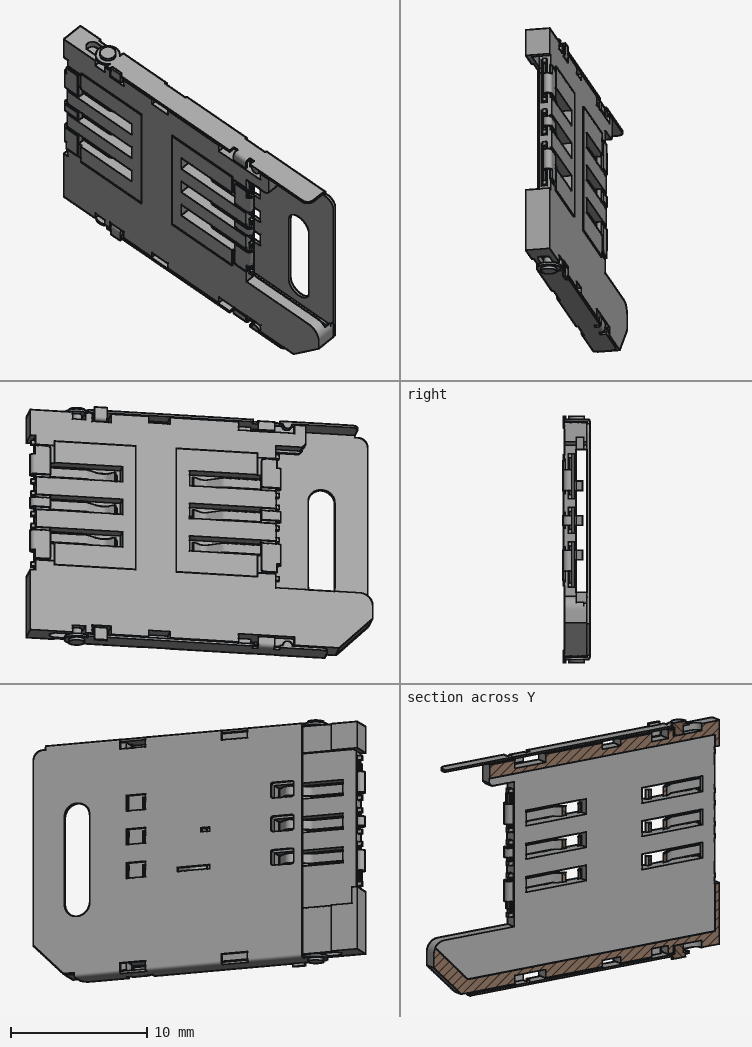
import cadquery as cq
import math


LENGTH = 25.52
HALF_WIDTH = 8.57
FLOOR_THICKNESS = 0.87
HOUSING_BACK = 1.65
STOP_BACK = 1.8
STOP_LENGTH = 2.05
MOUTH_TOP = 6.58
MOUTH_BOTTOM = -3.88
FLOOR_START = 0.4
MIRROR_SUM = 18.7
FLOOR_END = MIRROR_SUM - FLOOR_START
SHORT_ARM_END = 20.52
SHORT_ARM_INNER = 6.9
SHORT_ARM_CHAMFER = 0.25
LONG_ARM_INNER = -4.19
LONG_ARM_RADIUS = 0.97
CORNER_X = 23.02
CORNER_Z = -6.12
CARD_HALF_WIDTH = 7.5
CARD_END = 25.4
CARD_CORNER_RUN = 2.93
LIP_FRONT = 1.43
LIP_EDGE = -5.1

OUTER_ROW_SPACING = 5.08
PITCH = OUTER_ROW_SPACING / 2
PAD_TOP = 6.2
PAD_BOTTOM = -3.42
FIELD_Z = (PAD_TOP + PAD_BOTTOM) / 2
SLOT_WIDTH = 1.17
SLOT_END = 6.86
PAD_START = 1.79
PAD_END = 7.83
PAD_HEIGHT = 0.08
RECESS_HALF_WIDTH = 4.5
ENTRY_END = 0.6
ENTRY_BACK = 0.75

STRIP = 0.15
TAIL_FRONT = -0.1
BEND_RADIUS = 0.33
BASE_BACK = TAIL_FRONT + 2 * BEND_RADIUS
BASE_FRONT = BASE_BACK - STRIP
TAB_END = 1.48
BEAM_WIDTH = 0.71
BEAM_BEND = 4.24
BEAM_BEND_RADIUS = 0.5
CREST_X = 5.61
CREST_Y = 1.45
TIP_X = 6.5
TIP_Y = 0.75
TAB_CORNER_RADIUS = 0.15
TAB_OUTER = 4.4
BEND_OUTER = 3.73
OUTER_BASE = (1.58, 4.9)
MIDDLE_BASE_WIDTH = 1.91
PRONG_START = 0.13
PRONG_WIDTH = 0.3
PRONG_FRONT = 0.28

PIVOT_X = 3.6
PIVOT_Y = 0.9
PIN_DIAMETER = 0.8
PIN_HEAD_RADIUS = 0.59
PIN_INNER = 8.05
OVERALL_WIDTH = 18.1
OVERALL_HALF_WIDTH = OVERALL_WIDTH / 2
PIVOT_SLOT_START = 1.58
PIVOT_SLOT_WIDTH = 0.95
PIN_WINDOW = (3.15, 4.1)
CATCH_WINDOW = (4.6, 6.02)
CATCH = (4.77, 5.72)
SMALL_NOTCH = (8.83, 10.4)
SMALL_NOTCH_INNER = 8.1
CLIP_NOTCH = (15.52, 19.7)
CLIP_WINDOW = (16.61, 18.22)
CLIP = (17.0, 18.22)
WINDOW_INNER = 7.94
EDGE_POCKET_DEPTH = 1.02
CATCH_THICKNESS = 0.3
CATCH_RADIUS = 0.23
CLIP_RADIUS = 0.3
CLIP_INNER = 8.06
BUMP_X = 19.17
BUMP_RADIUS = 0.35

COVER_BACK = 1.9
COVER_START = 4.31
COVER_END = 25.45
PLATE_HALF_WIDTH = 8.5
PLATE_CORNER_RADIUS = 0.77
FLANGE_OUTER = 8.83
FLANGE_INNER = 8.65
FLANGE_BEND_RADIUS = 0.23
TOP_FLANGE_END = 24.47
BOTTOM_FLANGE_END = 22.23
FLANGE_CORNER_RADIUS = 0.59
PIVOT_RING_RADIUS = 0.9
GRIP_X = 22.0
GRIP_WIDTH = 2.0
GRIP_LENGTH = 8.52
BEND_SLOTS = [(8.6, 10.65), (16.61, 18.63)]
CLIP_RELIEF_DEPTH = 0.45
TIP_WINDOW = (4.95, 6.76)
TIP_WINDOW_RADIUS = 0.2
TAIL_WINDOW = (16.61, 18.12)
MARK_START = 11.59
MARK_WIDTH = 0.3
MIDDLE_MARK = (1.43, 12.25)
LOWER_MARK = (-1.4, 14.1)


def block(x_limits, y_limits, z_limits):
    """Box between the given limits."""
    lows = [min(limits) for limits in (x_limits, y_limits, z_limits)]
    sizes = [abs(limits[1] - limits[0]) for limits in (x_limits, y_limits, z_limits)]
    return cq.Workplane("XY").box(*sizes, centered=False).translate(tuple(lows))


def mirrored_x(shape):
    """The twin of a contact-field shape at the other end of the field."""
    return shape.mirror("YZ").translate((MIRROR_SUM, 0, 0))


def extruded_y(sketch, y_limits):
    """Solid between two Y values from a closed wire drawn on the XZ plane."""
    return sketch.extrude(-(y_limits[1] - y_limits[0])).translate((0, y_limits[0], 0))


def rod_z(x, y, radius, z_limits):
    """Cylinder along Z."""
    low, high = sorted(z_limits)
    return cq.Workplane("XY", origin=(x, y, low)).circle(radius).extrude(high - low)


def housing_body():
    arc_middle = LONG_ARM_RADIUS * (1 - math.sqrt(0.5))
    outline = (
        cq.Workplane("XZ")
        .moveTo(0, HALF_WIDTH)
        .lineTo(SHORT_ARM_END, HALF_WIDTH)
        .lineTo(SHORT_ARM_END, SHORT_ARM_INNER + SHORT_ARM_CHAMFER)
        .lineTo(SHORT_ARM_END - SHORT_ARM_CHAMFER, SHORT_ARM_INNER)
        .lineTo(FLOOR_END, SHORT_ARM_INNER)
        .lineTo(FLOOR_END, LONG_ARM_INNER)
        .lineTo(LENGTH - LONG_ARM_RADIUS, LONG_ARM_INNER)
        .threePointArc(
            (LENGTH - arc_middle, LONG_ARM_INNER - arc_middle),
            (LENGTH, LONG_ARM_INNER - LONG_ARM_RADIUS),
        )
        .lineTo(LENGTH, CORNER_Z)
        .lineTo(CORNER_X, -HALF_WIDTH)
        .lineTo(0, -HALF_WIDTH)
        .lineTo(0, MOUTH_BOTTOM)
        .lineTo(FLOOR_START, MOUTH_BOTTOM)
        .lineTo(FLOOR_START, MOUTH_TOP)
        .lineTo(0, MOUTH_TOP)
        .close()
    )
    body = extruded_y(outline, (0, STOP_BACK))
    return body.cut(block((STOP_LENGTH, LENGTH), (HOUSING_BACK, STOP_BACK), (-HALF_WIDTH, HALF_WIDTH)))


def card_space():
    """Card pocket with one cut corner, and the opening between its retaining lips."""
    pocket = extruded_y(
        cq.Workplane("XZ").polyline([
            (FLOOR_START, CARD_HALF_WIDTH),
            (CARD_END, CARD_HALF_WIDTH),
            (CARD_END, CARD_CORNER_RUN - CARD_HALF_WIDTH),
            (CARD_END - CARD_CORNER_RUN, -CARD_HALF_WIDTH),
            (FLOOR_START, -CARD_HALF_WIDTH),
        ]).close(),
        (FLOOR_THICKNESS, LIP_FRONT),
    )
    opening = block((FLOOR_START, CARD_END), (LIP_FRONT, STOP_BACK), (LIP_EDGE, MOUTH_TOP))
    mouth = block((0, FLOOR_START), (FLOOR_THICKNESS, STOP_BACK), (MOUTH_BOTTOM, MOUTH_TOP))
    return pocket.union(opening).union(mouth)


def row_z(row):
    """Z of a contact row: -1, 0 or 1."""
    return FIELD_Z + row * PITCH


def contact_pad():
    """Raised pad round three contact slots, reaching the floor edge between the rows."""
    y_limits = (-PAD_HEIGHT, 0)
    main = block((PAD_START, PAD_END), y_limits, (PAD_BOTTOM, PAD_TOP))
    bridge = block((FLOOR_START, PAD_START), y_limits, (row_z(-1), row_z(1)))
    return main.union(bridge)


def contact_cavities():
    """Beam slots, tab recesses, and pockets for the embedded contact bases."""
    tab_back = TAIL_FRONT + STRIP
    recess_x = (FLOOR_START, PAD_START)
    cavities = block(recess_x, (0, tab_back), (FIELD_Z - RECESS_HALF_WIDTH, row_z(-1)))
    cavities = cavities.union(block(recess_x, (0, tab_back), (row_z(1), FIELD_Z + RECESS_HALF_WIDTH)))
    for row in (-1, 0, 1):
        slot_z = (row_z(row) - SLOT_WIDTH / 2, row_z(row) + SLOT_WIDTH / 2)
        entry = block((FLOOR_START, ENTRY_END), (PRONG_FRONT, ENTRY_BACK), base_limits(row))
        tab_recess = block((FLOOR_START, TAB_END), (-PAD_HEIGHT, tab_back), slot_z)
        beam_slot = block((TAB_END, SLOT_END), (-PAD_HEIGHT, FLOOR_THICKNESS), slot_z)
        for cavity in (contact_base(row), entry, tab_recess, beam_slot):
            cavities = cavities.union(cavity)
    return cavities


def edge_cuts(side):
    """Pivot slot, windows and notches along one Z side (side is +1 or -1)."""
    def pocket(x_limits, inner, depth):
        return block(x_limits, (0, depth), (side * inner, side * HALF_WIDTH))

    slot_length = PIN_WINDOW[1] - PIVOT_SLOT_START
    depth = HALF_WIDTH - PIN_INNER
    slot_x = PIVOT_SLOT_START + slot_length / 2
    slot_z = min(side * PIN_INNER, side * HALF_WIDTH)
    slot = (
        cq.Workplane("XY", origin=(slot_x, PIVOT_Y, slot_z))
        .slot2D(slot_length, PIVOT_SLOT_WIDTH)
        .extrude(depth)
    )
    return (
        slot
        .union(pocket(PIN_WINDOW, PIN_INNER, PIVOT_Y))
        .union(pocket(CATCH_WINDOW, WINDOW_INNER, EDGE_POCKET_DEPTH))
        .union(pocket(SMALL_NOTCH, SMALL_NOTCH_INNER, EDGE_POCKET_DEPTH))
        .union(pocket(CLIP_NOTCH, WINDOW_INNER, CLIP_RELIEF_DEPTH))
        .union(pocket((CLIP_NOTCH[0], CLIP_WINDOW[0]), WINDOW_INNER, EDGE_POCKET_DEPTH))
        .union(pocket(CLIP_WINDOW, WINDOW_INNER, HOUSING_BACK))
    )


def make_housing():
    pad = contact_pad()
    cavities = contact_cavities()
    housing = housing_body().cut(card_space()).union(pad).union(mirrored_x(pad))
    housing = housing.cut(cavities).cut(mirrored_x(cavities))
    for side in (1, -1):
        housing = housing.cut(edge_cuts(side))
    return housing


def base_limits(row):
    """Z limits of the embedded base of the contact in one row."""
    if row == 0:
        return (FIELD_Z - MIDDLE_BASE_WIDTH / 2, FIELD_Z + MIDDLE_BASE_WIDTH / 2)
    return tuple(sorted(FIELD_Z + row * offset for offset in OUTER_BASE))


def contact_base(row):
    return block((FLOOR_START, TAB_END), (BASE_FRONT, BASE_BACK), base_limits(row))


def strip_z(row, outer):
    """Z limits of a tail part: from the inner beam edge outwards, or the beam width in the middle row."""
    if row == 0:
        return (FIELD_Z - BEAM_WIDTH / 2, FIELD_Z + BEAM_WIDTH / 2)
    return tuple(sorted((row_z(row) - row * BEAM_WIDTH / 2, FIELD_Z + row * outer)))


def contact_bend(z_limits):
    """U-bend joining the tab on the front to the base behind it."""
    centre = (BEND_RADIUS, TAIL_FRONT + BEND_RADIUS)
    inner_radius = BEND_RADIUS - STRIP
    ring = rod_z(*centre, BEND_RADIUS, z_limits).cut(rod_z(*centre, inner_radius, z_limits))
    ring = ring.intersect(block((0, BEND_RADIUS), (TAIL_FRONT, BASE_BACK), z_limits))
    link = block((BEND_RADIUS, FLOOR_START), (BASE_FRONT, BASE_BACK), z_limits)
    return ring.union(link)


def contact_beam(row):
    """Spring beam: flat, then rising to the crest and falling to the tip."""
    fall = math.atan2(CREST_Y - TIP_Y, TIP_X - CREST_X)
    beam = (
        cq.Workplane("XY", origin=(0, 0, row_z(row) - BEAM_WIDTH / 2))
        .polyline([
            (FLOOR_START, BASE_FRONT),
            (BEAM_BEND, BASE_FRONT),
            (CREST_X, CREST_Y - STRIP / math.cos(fall)),
            (TIP_X - STRIP * math.sin(fall), TIP_Y - STRIP * math.cos(fall)),
            (TIP_X, TIP_Y),
            (CREST_X, CREST_Y),
            (BEAM_BEND - STRIP, BASE_BACK),
            (FLOOR_START, BASE_BACK),
        ])
        .close()
        .extrude(BEAM_WIDTH)
    )
    bends = cq.selectors.BoxSelector(
        (BEAM_BEND - BEAM_BEND_RADIUS, 0, -HALF_WIDTH),
        (CREST_X + BEAM_BEND_RADIUS, COVER_BACK, HALF_WIDTH),
    )
    return beam.edges("|Z").edges(bends).fillet(BEAM_BEND_RADIUS)


def make_contact(row):
    tab = block((BEND_RADIUS, TAB_END), (TAIL_FRONT, TAIL_FRONT + STRIP), strip_z(row, TAB_OUTER))
    if row != 0:
        outer_corner = ">Z" if row > 0 else "<Z"
        tab = tab.edges(f">X and {outer_corner}").fillet(TAB_CORNER_RADIUS)
    contact = contact_base(row).union(contact_beam(row)).union(tab)
    contact = contact.union(contact_bend(strip_z(row, BEND_OUTER)))
    low, high = base_limits(row)
    for start in (low, high - PRONG_WIDTH):
        prong = block((PRONG_START, FLOOR_START), (PRONG_FRONT, BASE_BACK), (start, start + PRONG_WIDTH))
        contact = contact.union(prong)
    return contact


def cover_plate():
    corner_slope = (HALF_WIDTH + CORNER_Z) / (LENGTH - CORNER_X)
    corner_z = CORNER_Z - (LENGTH - COVER_END) * corner_slope
    corner_x = CORNER_X + (HALF_WIDTH - PLATE_HALF_WIDTH) / corner_slope
    outline = (
        cq.Workplane("XZ")
        .moveTo(COVER_START, PLATE_HALF_WIDTH)
        .lineTo(COVER_END - PLATE_CORNER_RADIUS, PLATE_HALF_WIDTH)
        .radiusArc((COVER_END, PLATE_HALF_WIDTH - PLATE_CORNER_RADIUS), PLATE_CORNER_RADIUS)
        .lineTo(COVER_END, corner_z)
        .lineTo(corner_x, -PLATE_HALF_WIDTH)
        .lineTo(COVER_START, -PLATE_HALF_WIDTH)
        .close()
    )
    return extruded_y(outline, (HOUSING_BACK, COVER_BACK))


def cover_flange(side, end):
    """Folded side of the cover with its pivot ring, pin, catch, clip and bump."""
    def span(inner, outer):
        return (side * inner, side * outer)

    fold = block((COVER_START, end), (0, COVER_BACK), span(PLATE_HALF_WIDTH, FLANGE_OUTER))
    outer_edge = ">Z" if side > 0 else "<Z"
    fold = fold.edges(f"{outer_edge} and >Y").fillet(FLANGE_BEND_RADIUS)
    fold = fold.cut(block((COVER_START, end), (0, HOUSING_BACK), span(PLATE_HALF_WIDTH, FLANGE_INNER)))
    fold = fold.edges("<Y and >X and |Z").fillet(FLANGE_CORNER_RADIUS)
    relief = block(BEND_SLOTS[1], (0, CLIP_RELIEF_DEPTH), span(FLANGE_INNER, FLANGE_OUTER))
    fold = fold.cut(relief)

    clip = block(CLIP, (0, CLIP_RELIEF_DEPTH), span(CLIP_INNER, FLANGE_OUTER))
    clip = clip.edges(f"{outer_edge} and <Y").fillet(CLIP_RADIUS)
    sheet = FLANGE_OUTER - FLANGE_INNER
    clip = clip.cut(block(CLIP, (sheet, CLIP_RELIEF_DEPTH), span(CLIP_INNER, FLANGE_INNER)))
    catch_back = CATCH_THICKNESS - PAD_HEIGHT
    catch = block(CATCH, (-PAD_HEIGHT, catch_back), span(PIN_INNER, OVERALL_HALF_WIDTH))
    catch = catch.edges(f"{'<Z' if side > 0 else '>Z'} and <Y").fillet(CATCH_RADIUS)
    rim = block(CATCH, (sheet - PAD_HEIGHT, catch_back), span(FLANGE_OUTER, OVERALL_HALF_WIDTH))
    catch = catch.cut(rim)

    ring = rod_z(PIVOT_X, PIVOT_Y, PIVOT_RING_RADIUS, span(FLANGE_INNER, FLANGE_OUTER))
    pin = rod_z(PIVOT_X, PIVOT_Y, PIN_DIAMETER / 2, span(PIN_INNER, FLANGE_OUTER))
    head = rod_z(PIVOT_X, PIVOT_Y, PIN_HEAD_RADIUS, span(FLANGE_OUTER, OVERALL_HALF_WIDTH))
    bump = extruded_y(
        cq.Workplane("XZ").center(BUMP_X, side * FLANGE_INNER).circle(BUMP_RADIUS),
        (0, CLIP_RELIEF_DEPTH),
    )
    bump_outer = FLANGE_INNER + BUMP_RADIUS
    bump = bump.cut(block((COVER_START, end), (0, CLIP_RELIEF_DEPTH), span(FLANGE_INNER, bump_outer)))
    return fold.union(clip).union(catch).union(ring).union(pin).union(head).union(bump)


def cover_openings():
    """Finger grip, contact windows, slots across the folds and two narrow slits."""
    y_limits = (HOUSING_BACK, COVER_BACK)
    openings = extruded_y(
        cq.Workplane("XZ").center(GRIP_X, 0).slot2D(GRIP_LENGTH, GRIP_WIDTH, 90), y_limits
    )
    for row in (-1, 0, 1):
        slot_z = (row_z(row) - SLOT_WIDTH / 2, row_z(row) + SLOT_WIDTH / 2)
        tip_window = block(TIP_WINDOW, y_limits, slot_z).edges("|Y").fillet(TIP_WINDOW_RADIUS)
        openings = openings.union(tip_window).union(block(TAIL_WINDOW, y_limits, slot_z))
    for x_limits in BEND_SLOTS:
        for side in (1, -1):
            openings = openings.union(block(x_limits, y_limits, (side * CLIP_INNER, side * FLANGE_OUTER)))
    for z, end in (MIDDLE_MARK, LOWER_MARK):
        openings = openings.union(
            block((MARK_START, end), y_limits, (z - MARK_WIDTH / 2, z + MARK_WIDTH / 2))
        )
    return openings


def make_cover():
    cover = cover_plate()
    cover = cover.union(cover_flange(1, TOP_FLANGE_END)).union(cover_flange(-1, BOTTOM_FLANGE_END))
    return cover.cut(cover_openings())


housing = make_housing()
cover = make_cover()
contacts = []
for row in (-1, 0, 1):
    contact = make_contact(row)
    contacts.append(contact.val())
    contacts.append(mirrored_x(contact).val())

result = cq.Compound.makeCompound([housing.val(), cover.val(), *contacts])